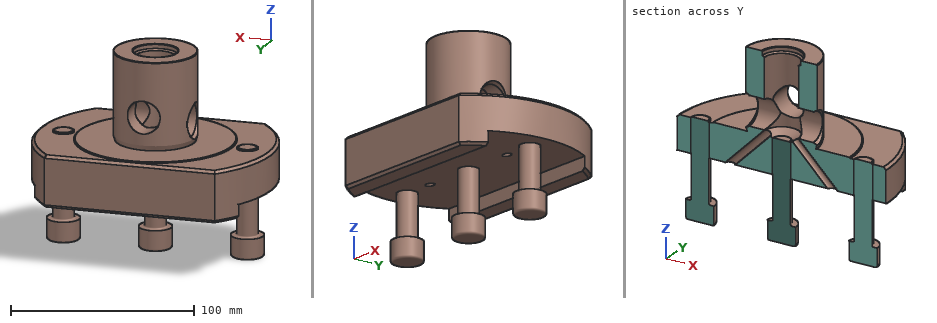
import cadquery as cq
import math

TOTAL_HEIGHT = 112.0

BASE_DIAMETER = 135.0
BASE_WIDTH = 93.5
BASE_TOP = 29.8
BASE_CHAMFER = 1.6
SLOT_WIDTH = 68.0
SLOT_DEPTH = 8.1

PAD_RADIUS = 44.5
PAD_BEVEL = 0.7
PAD_HEIGHT = 0.5
PAD_TOP = BASE_TOP + PAD_HEIGHT

HUB_RADIUS = 23.1
HUB_TOP = 80.5
HUB_CHAMFER = 0.4
TAPER_TOP = 33.0
UNDERCUT_ROOT_RADIUS = 22.3
UNDERCUT_OUTER_RADIUS = 23.9
UNDERCUT_DEPTH = 0.34

BORE_RADIUS = 11.0
BORE_FLOOR_EDGE = 33.2
CONE_HALF_ANGLE = 60.0
ENTRY_RADIUS = 12.3
ENTRY_DEPTH = 2.7
ENTRY_CONE_HEIGHT = 0.8
MOUTH_CHAMFER = 0.4

CROSS_RADIUS = 9.0
CROSS_HEIGHT = 42.7
FLARE_WIDTH = 1.4
FLARE_DEPTH = 2.4

SIDE_RADIUS = 9.3
SIDE_HEIGHT = 48.9

DRAIN_RADIUS = 2.2
DRAIN_START = 9.0
DRAIN_ANGLE = 45.0

SCREW_SPACING = 52.5
SHANK_RADIUS = 6.0
SCREW_TIP = PAD_TOP
TIP_CHAMFER = 0.8
HEAD_RADIUS = 9.2
HEAD_HEIGHT = 12.0
HEAD_ROUND = 1.4
NECK_FILLET = 0.8
HEAD_BOTTOM = HUB_TOP - TOTAL_HEIGHT
HEAD_TOP = HEAD_BOTTOM + HEAD_HEIGHT


def cylinder(radius, bottom, top):
    return cq.Workplane("XY").workplane(offset=bottom).circle(radius).extrude(top - bottom)


def turned(points):
    """Revolve a closed outline of (radius, height) points about the Z axis."""
    return cq.Workplane("XZ").polyline(points).close().revolve(360, (0, 0), (0, 1))


def make_plate():
    disc = cylinder(BASE_DIAMETER / 2, 0, BASE_TOP)
    flats = cq.Workplane("XY").box(BASE_DIAMETER, BASE_WIDTH, 2 * BASE_TOP)
    slot = cq.Workplane("XY").box(BASE_DIAMETER, SLOT_WIDTH, 2 * SLOT_DEPTH)
    return disc.intersect(flats).faces("<Z or >Z").chamfer(BASE_CHAMFER).cut(slot)


def make_pad_and_hub():
    return turned([
        (0, BASE_TOP),
        (PAD_RADIUS, BASE_TOP),
        (PAD_RADIUS - PAD_BEVEL, PAD_TOP),
        (UNDERCUT_OUTER_RADIUS, PAD_TOP),
        (UNDERCUT_ROOT_RADIUS, PAD_TOP - UNDERCUT_DEPTH),
        (HUB_RADIUS, TAPER_TOP),
        (HUB_RADIUS, HUB_TOP - HUB_CHAMFER),
        (HUB_RADIUS - HUB_CHAMFER, HUB_TOP),
        (0, HUB_TOP),
    ])


def make_bore():
    cone_depth = BORE_RADIUS / math.tan(math.radians(CONE_HALF_ANGLE))
    entry_floor = HUB_TOP - ENTRY_DEPTH
    return turned([
        (0, BORE_FLOOR_EDGE - cone_depth),
        (BORE_RADIUS, BORE_FLOOR_EDGE),
        (BORE_RADIUS, entry_floor - ENTRY_CONE_HEIGHT),
        (ENTRY_RADIUS, entry_floor),
        (ENTRY_RADIUS, HUB_TOP - MOUTH_CHAMFER),
        (ENTRY_RADIUS + MOUTH_CHAMFER, HUB_TOP),
        (0, HUB_TOP),
    ])


def make_cross_hole():
    """Cutter along X, widening toward both hub walls."""
    flare_start = HUB_RADIUS - FLARE_DEPTH
    flare_end_radius = CROSS_RADIUS + FLARE_WIDTH
    outline = [
        (-HUB_RADIUS, 0),
        (-HUB_RADIUS, flare_end_radius),
        (-flare_start, CROSS_RADIUS),
        (flare_start, CROSS_RADIUS),
        (HUB_RADIUS, flare_end_radius),
        (HUB_RADIUS, 0),
    ]
    cutter = cq.Workplane("XY").polyline(outline).close().revolve(360, (0, 0), (1, 0))
    return cutter.translate((0, 0, CROSS_HEIGHT))


def make_side_hole():
    """Cutter from the bore axis out through the +Y wall."""
    cutter = cq.Workplane("XZ").circle(SIDE_RADIUS).extrude(-HUB_RADIUS)
    return cutter.translate((0, 0, SIDE_HEIGHT))


def make_drain_hole(side):
    """Cutter from the bore floor, slanting down toward +X (side 1) or -X (side -1)."""
    drop = (BORE_RADIUS - DRAIN_START) / math.tan(math.radians(CONE_HALF_ANGLE))
    start_height = BORE_FLOOR_EDGE - drop
    cutter = cylinder(DRAIN_RADIUS, -2 * BASE_TOP, DRAIN_RADIUS)
    cutter = cutter.rotate((0, 0, 0), (0, 1, 0), -side * DRAIN_ANGLE)
    return cutter.translate((side * DRAIN_START, 0, start_height))


def make_screw(x):
    shank = cylinder(SHANK_RADIUS, HEAD_TOP, SCREW_TIP).faces(">Z").chamfer(TIP_CHAMFER)
    head = cylinder(HEAD_RADIUS, HEAD_BOTTOM, HEAD_TOP).faces("<Z").edges().fillet(HEAD_ROUND)
    screw = head.union(shank)
    neck_edge = screw.faces(cq.selectors.NearestToPointSelector((0, 0, HEAD_TOP))).edges(
        cq.selectors.RadiusNthSelector(0)
    )
    return neck_edge.fillet(NECK_FILLET).translate((x, 0, 0))


def make_holder():
    holder = make_plate().union(make_pad_and_hub())
    holder = holder.cut(make_bore()).cut(make_cross_hole()).cut(make_side_hole())
    for side in (-1, 1):
        holder = holder.cut(make_drain_hole(side))
        holder = holder.cut(cylinder(SHANK_RADIUS, 0, PAD_TOP).translate((side * SCREW_SPACING, 0, 0)))
    return holder.cut(make_screw(0))


holder = make_holder()
screws = [make_screw(x) for x in (-SCREW_SPACING, 0, SCREW_SPACING)]
result = cq.Compound.makeCompound([holder.val(), *[screw.val() for screw in screws]])